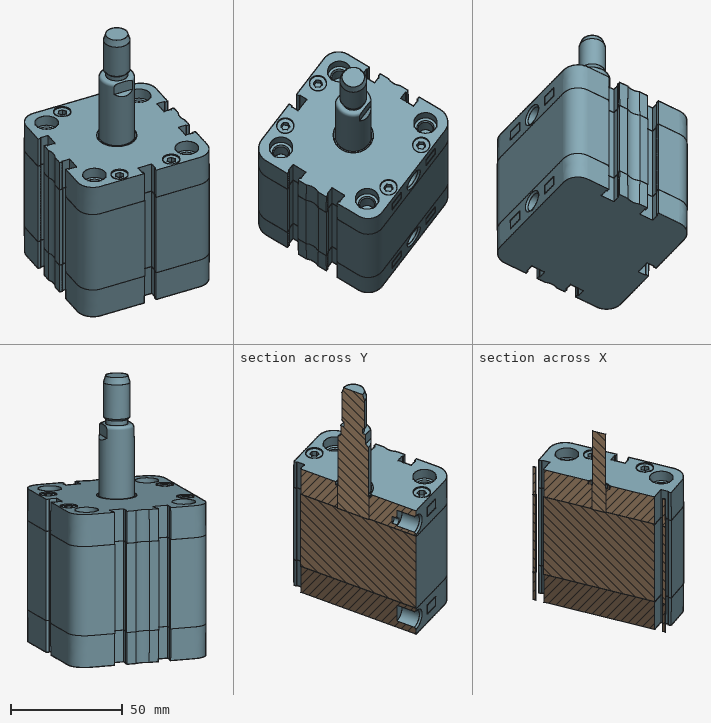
import cadquery as cq
import math


total_height = 125.0
body_width = 65.5
body_height = 70.1
cover_height = 14.6
barrel_height = body_height - 2 * cover_height
barrel_bottom = cover_height
front_cover_bottom = cover_height + barrel_height
half_width = body_width / 2
corner_radius = 7.9
cover_draft = 0.5

slot_offset = 10.5
slot_lip = 1.6
barrel_slot_opening = 5.6
barrel_slot_width = 6.6
barrel_slot_depth = 5.2
cover_slot_clearance = 0.1

groove_width = 6.6
groove_depth = 0.9

mount_offset = 23.2
mount_recess_diameter = 10.5
mount_recess_depth = 5.0
mount_chamfer_diameter = 7.8
mount_hole_diameter = 6.6
mount_hole_depth = 12.5

screw_x = 27.9
screw_y = 13.0
screw_recess_diameter = 7.8
screw_head_diameter = 7.5
screw_gap_depth = 2.5
screw_head_drop = 0.5
socket_across_flats = 3.5
socket_depth = 3.0

port_height = 8.1
port_mouth_diameter = 10.5
port_diameter = 8.6
port_depth = 10.0
air_hole_diameter = 3.5
air_hole_drop = 2.0
air_hole_depth = 2.5

label_offset = 13.5
label_distance = 7.4
label_width = 7.2
label_height = 5.1
label_depth = 0.2

rod_diameter = 16.0
rod_shoulder_height = 103.0
rod_shoulder_radius = 1.5
thread_diameter = 12.0
thread_bottom = 106.1
thread_tip_diameter = 10.0
thread_tip_length = 3.1
neck_diameter = 10.0
flat_across = 13.0
flat_bottom = 97.6
wiper_seat_diameter = 18.0
wiper_diameter = 17.8
wiper_bore = 16.5
wiper_height = 1.9


def t_slot(opening, width, depth, height):
    """T-slot cutter whose mouth is on the plane Y = 0, reaching down to Y = -depth."""
    mouth = cq.Workplane("XY").rect(opening, 2 * depth).extrude(height)
    channel_depth = depth - slot_lip
    channel = (
        cq.Workplane("XY")
        .center(0, -slot_lip - channel_depth / 2)
        .rect(width, channel_depth)
        .extrude(height)
    )
    return mouth.union(channel)


def side_groove(height):
    """Cutter for the arc groove, centred on the plane Y = 0."""
    half = groove_width / 2
    return (
        cq.Workplane("XY")
        .moveTo(-half, 0)
        .threePointArc((0, -groove_depth), (half, 0))
        .close()
        .extrude(height)
    )


def profile_block(height, slot_clearance, draft):
    """Rounded square block with T-slots and side grooves, on Z = 0 and narrowing upwards by the draft."""
    outline = cq.Sketch().rect(body_width, body_width).vertices().fillet(corner_radius)
    block = cq.Workplane("XY").placeSketch(outline).extrude(height, taper=draft)
    slot = t_slot(
        barrel_slot_opening + 2 * slot_clearance,
        barrel_slot_width + 2 * slot_clearance,
        barrel_slot_depth + slot_clearance,
        height,
    )
    groove = side_groove(height)
    for turn in (0, 180):
        for x in (-slot_offset, slot_offset):
            placed_slot = slot.translate((x, half_width, 0))
            block = block.cut(placed_slot.rotate((0, 0, 0), (0, 0, 1), turn))
        block = block.cut(groove.translate((0, half_width, 0)).rotate((0, 0, 0), (0, 0, 1), turn))
    return block.cut(slot.translate((0, half_width, 0)).rotate((0, 0, 0), (0, 0, 1), -90))


def ring(outer_diameter, inner_diameter, depth):
    """Annular cutter with its mouth at Z = 0, going down."""
    return cq.Workplane("XY").circle(outer_diameter / 2).circle(inner_diameter / 2).extrude(-depth)


def chamfered_hole(mouth_diameter, diameter, depth):
    """Blind hole cutter with a 45 degree mouth at Z = 0, going down."""
    chamfer = (mouth_diameter - diameter) / 2
    return (
        cq.Workplane("XZ")
        .polyline([
            (0, 0),
            (mouth_diameter / 2, 0),
            (diameter / 2, -chamfer),
            (diameter / 2, -depth),
            (0, -depth),
        ])
        .close()
        .revolve(360, (0, 0, 0), (0, 1, 0))
    )


def cut_port_side(cover, port_z, label_z):
    """Cut the air port and the two label recesses into the -X side of a cover."""
    port = chamfered_hole(port_mouth_diameter, port_diameter, port_depth)
    port = port.rotate((0, 0, 0), (0, 1, 0), -90).translate((-half_width, 0, port_z))
    cover = cover.cut(port)
    for y in (-label_offset, label_offset):
        label = cq.Workplane("XY").box(2 * label_depth, label_width, label_height)
        cover = cover.cut(label.translate((-half_width, y, label_z)))
    return cover


def mounting_hole():
    """Counterbored, chamfered mounting hole cutter, with its mouth at Z = 0."""
    recess = cq.Workplane("XY").circle(mount_recess_diameter / 2).extrude(-mount_recess_depth)
    hole = chamfered_hole(mount_chamfer_diameter, mount_hole_diameter, mount_hole_depth - mount_recess_depth)
    return recess.union(hole.translate((0, 0, -mount_recess_depth)))


def screw_head_cut():
    """Cutter for a sunk screw head: the gap round it, the space above it and its hexagon socket."""
    gap = ring(screw_recess_diameter, screw_head_diameter, screw_gap_depth)
    space_above = cq.Workplane("XY").circle(screw_recess_diameter / 2).extrude(-screw_head_drop)
    across_corners = socket_across_flats / math.cos(math.pi / 6)
    socket = cq.Workplane("XY").polygon(6, across_corners).extrude(-socket_depth)
    return gap.union(space_above).union(socket.rotate((0, 0, 0), (0, 0, 1), 30))


def make_front_cover():
    cover = profile_block(cover_height, cover_slot_clearance, cover_draft)
    cover = cover.translate((0, 0, front_cover_bottom))
    port_z = body_height - port_height
    cover = cut_port_side(cover, port_z, body_height - label_distance)
    air_hole = (
        cq.Workplane("YZ")
        .center(0, port_z - air_hole_drop)
        .circle(air_hole_diameter / 2)
        .extrude(air_hole_depth)
        .translate((-half_width + port_depth, 0, 0))
    )
    cover = cover.cut(air_hole)

    hole = mounting_hole()
    screw = screw_head_cut()
    for x_side in (-1, 1):
        for y_side in (-1, 1):
            cover = cover.cut(hole.translate((x_side * mount_offset, y_side * mount_offset, body_height)))
            cover = cover.cut(screw.translate((x_side * screw_x, y_side * screw_y, body_height)))

    cover = cover.cut(ring(wiper_seat_diameter, wiper_diameter, wiper_height).translate((0, 0, body_height)))
    cover = cover.cut(ring(wiper_bore, rod_diameter, wiper_height).translate((0, 0, body_height)))
    rod_bore = cq.Workplane("XY").circle(rod_diameter / 2).extrude(-cover_height)
    return cover.cut(rod_bore.translate((0, 0, body_height)))


def make_barrel():
    return profile_block(barrel_height, 0, 0).translate((0, 0, barrel_bottom))


def make_rear_cover():
    cover = profile_block(cover_height, cover_slot_clearance, cover_draft)
    cover = cover.mirror("XY").translate((0, 0, cover_height))
    return cut_port_side(cover, port_height, label_distance)


def make_piston_rod():
    rod_radius = rod_diameter / 2
    thread_radius = thread_diameter / 2
    neck_radius = neck_diameter / 2
    arc_inset = rod_shoulder_radius * (1 - math.cos(math.pi / 4))
    rod = (
        cq.Workplane("XZ")
        .moveTo(0, front_cover_bottom)
        .lineTo(rod_radius, front_cover_bottom)
        .lineTo(rod_radius, rod_shoulder_height - rod_shoulder_radius)
        .threePointArc(
            (rod_radius - arc_inset, rod_shoulder_height - arc_inset),
            (rod_radius - rod_shoulder_radius, rod_shoulder_height),
        )
        .lineTo(neck_radius, rod_shoulder_height)
        .lineTo(neck_radius, thread_bottom - (thread_radius - neck_radius))
        .lineTo(thread_radius, thread_bottom)
        .lineTo(thread_radius, total_height - thread_tip_length)
        .lineTo(thread_tip_diameter / 2, total_height)
        .lineTo(0, total_height)
        .close()
        .revolve(360, (0, 0, 0), (0, 1, 0))
    )
    flat_x = flat_across / 2
    flat_depth = rod_radius - flat_x
    flat = (
        cq.Workplane("XZ")
        .polyline([
            (flat_x, rod_shoulder_height),
            (flat_x, flat_bottom),
            (rod_radius, flat_bottom - flat_depth),
            (rod_radius, rod_shoulder_height),
        ])
        .close()
        .extrude(rod_radius, both=True)
    )
    return rod.cut(flat).cut(flat.mirror("YZ"))


front_cover = make_front_cover()
barrel = make_barrel()
rear_cover = make_rear_cover()
piston_rod = make_piston_rod()

result = cq.Compound.makeCompound([
    front_cover.val(),
    barrel.val(),
    rear_cover.val(),
    piston_rod.val(),
])